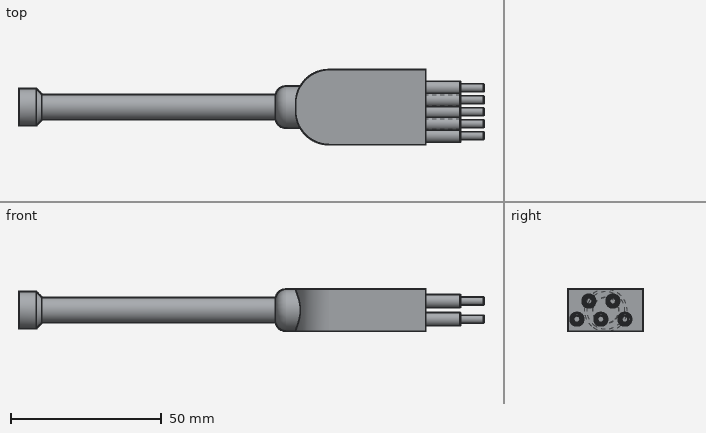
import cadquery as cq

total_length = 154.5

body_width = 25.0
body_height = 14.0
body_start = 92.0
body_end = 135.2
body_corner_radius = 11.1

cable_diameter = 8.5
cap_diameter = 12.5
cap_length = 7.5
cap_chamfer = 1.9
boot_start = 85.1
boot_diameter = body_height
boot_fillet = 3.5

wire_count = 5
wire_span = 15.9
wire_center_y = -1.5
row_spacing_z = 6.0
insulation_diameter = 4.5
insulation_end = 146.8
conductor_diameter = 2.8
tip_chamfer = 0.3
insulation_chamfer = 0.3


def rod(start, end, diameter, y=0.0, z=0.0):
    """Round bar along X from start to end."""
    return cq.Workplane("YZ", origin=(start, y, z)).circle(diameter / 2).extrude(end - start)


def make_body():
    length = body_end - body_start
    block = cq.Workplane("XY").box(length, body_width, body_height, centered=(False, True, True))
    return block.edges("|Z and <X").fillet(body_corner_radius).translate((body_start, 0, 0))


def make_cap():
    """End cap, chamfered on the side facing the cable."""
    return rod(0, cap_length, cap_diameter).faces(">X").edges().chamfer(cap_chamfer)


def make_cable():
    """Cable from the cap to inside the housing."""
    return rod(0, body_start + body_corner_radius, cable_diameter)


def make_boot():
    """Rounded collar that ends inside the housing."""
    boot_end = body_start + body_corner_radius
    return rod(boot_start, boot_end, boot_diameter).faces("<X").edges().fillet(boot_fillet)


def make_wire(y, z):
    """Insulated wire with a bare, chamfered conductor tip."""
    insulation = rod(body_end, insulation_end, insulation_diameter, y, z)
    insulation = insulation.faces(">X").chamfer(insulation_chamfer)
    conductor = rod(body_end, total_length, conductor_diameter, y, z)
    return insulation.union(conductor.faces(">X").chamfer(tip_chamfer))


result = make_body().union(make_boot()).union(make_cable()).union(make_cap())

wire_pitch = wire_span / (wire_count - 1)
for index in range(wire_count):
    wire_y = wire_center_y + wire_span / 2 - index * wire_pitch
    wire_row = -1 if index % 2 == 0 else 1
    wire_z = wire_row * row_spacing_z / 2
    result = result.union(make_wire(wire_y, wire_z))